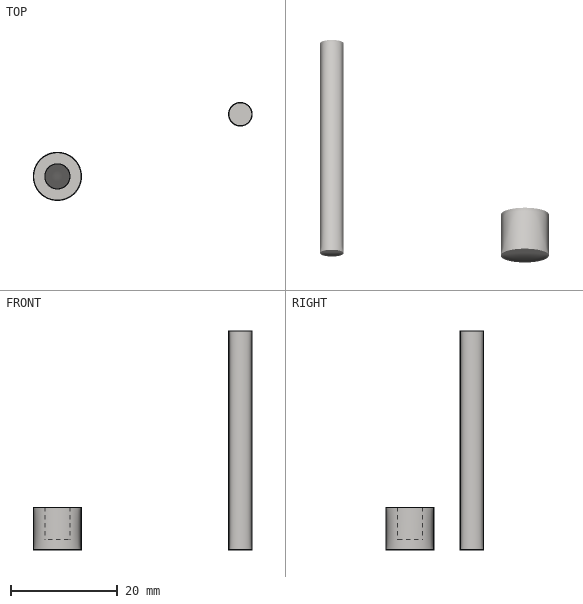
import cadquery as cq

rod_diameter = 4.4
rod_length = 41.0

cap_diameter = 9.0
cap_height = 8.0
bore_diameter = 4.7
floor_thickness = 2.0
bore_depth = cap_height - floor_thickness

rod_offset_x = 34.24
rod_offset_y = 11.63


def make_cap():
    body = cq.Workplane("XY").circle(cap_diameter / 2).extrude(cap_height)
    return body.faces(">Z").workplane().hole(bore_diameter, bore_depth)


def make_rod():
    base = cq.Workplane("XY").center(rod_offset_x, rod_offset_y)
    return base.circle(rod_diameter / 2).extrude(rod_length)


cap = make_cap()
rod = make_rod()

result = cq.Compound.makeCompound([cap.val(), rod.val()])